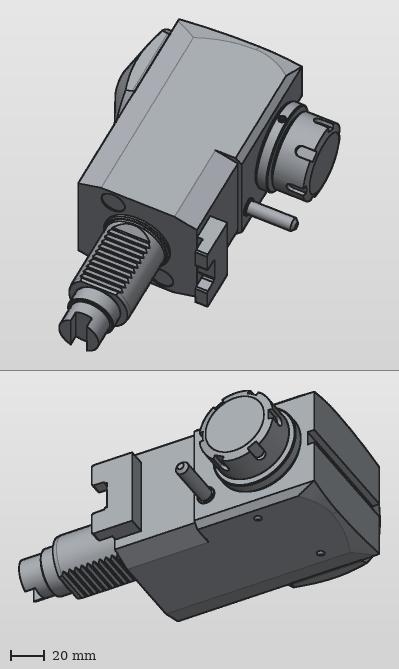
import cadquery as cq
import math


OVERALL_LENGTH = 215.0

HOUSING_LENGTH = 136.0
HALF_HEIGHT = 37.6
HALF_WIDTH = 39.3
BEVEL_X = 24.3
SIDE_HALF_HEIGHT = 33.1
HEAD_START = 55.0
HEAD_FACE = 42.0
HEAD_CHAMFER = 4.0
REAR_CROWN_X = 13.3
REAR_CROWN_Z = 36.8
REAR_LEFT_Z = 32.7
REAR_RIGHT_Z = 33.5
REAR_SLOPE = 0.25
RELIEF_LENGTH = 25.8
RELIEF_CLEARANCE = 2.2
REAR_SLOT_WIDTH = 9.5
REAR_SLOT_DEPTH = 4.5

PLUG_CENTERS = [(-16.1, 27.5), (16.0, -28.0)]
PLUG_RADIUS = 7.7
PLUG_DEPTH = 0.9

STUD_CENTERS = [(-17.0, 108.5), (30.3, 91.8)]
STUD_RADIUS = 2.4
STUD_TIP_RADIUS = 0.9
STUD_HEIGHT = 1.3

SPINDLE_Y = 100.0
CAP_RADIUS = 40.2
CAP_TIP_RADIUS = 9.9
CAP_RIM_X = -45.0
CAP_TIP_X = -59.1
CAP_REAR = 131.4
CAP_TOP_Z = 32.5
CAP_LEDGE_X = -41.0
CAP_TOP_SLOPE = 0.2

FLANGE_RADIUS = 28.0
SPACER_RADIUS = 26.9
FLANGE_START = 42.8
FLANGE_END = 50.3
NECK_RADIUS = 21.7
NUT_RADIUS = 25.0
NUT_START = 51.8
NUT_BEVEL_X = 72.7
NUT_END = 74.4
NUT_END_RADIUS = 19.8
EDGE_CHAMFER = 0.6
NUT_SLOTS = 6
NUT_SLOT_WIDTH = 6.7
NUT_SLOT_START = 61.7
NUT_SLOT_DEPTH = 2.8

PIN_Y = 63.2
PIN_Z = -17.8
PIN_RADIUS = 4.3
PIN_END = 74.2
PIN_CHAMFER = 2.2
PIN_COLLAR_RADIUS = 5.5
PIN_COLLAR_LENGTH = 1.0

KEY_END = 50.7
KEY_HALF_HEIGHT = 25.8
KEY_REAR = 17.8
KEY_FRONT = 0.5
KEY_LEG_X = 43.0
KEY_LEG_LENGTH = 9.5
KEY_GAP_HALF = 9.0
KEY_GAP_FRONT = 0.9
KEY_LEG_INNER_Z = 11.6
KEY_RELIEF = 1.3
KEY_CHAMFER = 1.0

COLLAR_RADIUS = 21.7
COLLAR_LENGTH = 2.4
COLLAR_CHAMFER = 0.9
SHOULDER_RADIUS = 20.2
SHOULDER_END = 3.7
SHANK_RADIUS = 19.8
SHANK_LENGTH = 52.7
SHANK_CHAMFER_RADIUS = 19.4
SHANK_CHAMFER_LENGTH = 2.5
RING_RADIUS = 15.0
RING_LENGTH = 63.6
TANG_RADIUS = 13.1
TANG_LENGTH = OVERALL_LENGTH - HOUSING_LENGTH
TANG_SLOT_WIDTH = 10.5
TANG_SLOT_DEPTH = 6.9

FLAT_Z = 15.5
FLAT_RAMP_START = 4.3
TOOTH_COUNT = 10
TOOTH_PITCH = 4.0
FIRST_TOOTH = 11.6
TOOTH_DEPTH = 1.5
TOOTH_HALF_WIDTH = 1.7

SCREW_HEAD_RADIUS = 2.4
SCREW_HEAD_DEPTH = 0.6
SCREW_RADIUS = 1.3
SCREW_DEPTH = 2.5


def box(x_range, y_range, z_range):
    """Box spanning the given coordinate ranges."""
    sizes = [high - low for low, high in (x_range, y_range, z_range)]
    corner = (x_range[0], y_range[0], z_range[0])
    return cq.Workplane("XY").box(*sizes, centered=False).translate(corner)


def both_halves(solid):
    """The solid joined by its mirror image below the XY plane."""
    return solid.union(solid.mirror("XY"))


def side_profile(points):
    """Closed XZ outline symmetric about Z = 0, from its upper points."""
    lower = [(x, -z) for x, z in reversed(points)]
    return cq.Workplane("XZ").polyline(points + lower).close()


def rear_relief():
    """Cutter for the crowned slope at the top rear edge."""
    left = -HALF_WIDTH
    left_radius = ((REAR_CROWN_X - left) ** 2 / (REAR_CROWN_Z - REAR_LEFT_Z)) / 2
    right_radius = ((HEAD_FACE - REAR_CROWN_X) ** 2 / (REAR_CROWN_Z - REAR_RIGHT_Z)) / 2

    def crown(x, radius):
        drop = radius - math.sqrt(radius ** 2 - (x - REAR_CROWN_X) ** 2)
        return (x, REAR_CROWN_Z - drop)

    left_middle = crown((left + REAR_CROWN_X) / 2, left_radius)
    right_middle = crown((HEAD_FACE + REAR_CROWN_X) / 2, right_radius)
    clear_z = HALF_HEIGHT + RELIEF_CLEARANCE
    outline = (
        cq.Workplane("XZ", origin=(0, HOUSING_LENGTH, 0))
        .moveTo(*crown(left, left_radius))
        .threePointArc(left_middle, (REAR_CROWN_X, REAR_CROWN_Z))
        .threePointArc(right_middle, crown(HEAD_FACE, right_radius))
        .lineTo(HEAD_FACE, clear_z)
        .lineTo(left, clear_z)
        .close()
        .val()
    )
    slope = cq.Vector(0, -RELIEF_LENGTH, RELIEF_LENGTH * REAR_SLOPE)
    return cq.Workplane(cq.Solid.extrudeLinear(outline, [], slope))


def housing():
    left_bevel = [(-HALF_WIDTH, SIDE_HALF_HEIGHT), (-BEVEL_X, HALF_HEIGHT)]
    right_bevel = [(BEVEL_X, HALF_HEIGHT), (HALF_WIDTH, SIDE_HALF_HEIGHT)]
    head_chamfer = [
        (HEAD_FACE - HEAD_CHAMFER, HALF_HEIGHT),
        (HEAD_FACE, HALF_HEIGHT - HEAD_CHAMFER),
    ]
    front = side_profile(left_bevel + right_bevel).extrude(-HEAD_START)
    head = side_profile(left_bevel + head_chamfer).extrude(HEAD_START - HOUSING_LENGTH)
    head = head.translate((0, HEAD_START, 0))
    slot = box(
        (-HALF_WIDTH, HEAD_FACE),
        (HOUSING_LENGTH - REAR_SLOT_DEPTH, HOUSING_LENGTH),
        (-REAR_SLOT_WIDTH / 2, REAR_SLOT_WIDTH / 2),
    )
    plugs = cq.Workplane("XZ").pushPoints(PLUG_CENTERS).circle(PLUG_RADIUS).extrude(-PLUG_DEPTH)
    return front.union(head).cut(both_halves(rear_relief())).cut(slot).cut(plugs)


def studs():
    profile = [(0, 0), (STUD_RADIUS, 0), (STUD_TIP_RADIUS, -STUD_HEIGHT), (0, -STUD_HEIGHT)]
    stud = cq.Workplane("XZ").polyline(profile).close().revolve(360, (0, 0), (0, 1))
    joined = cq.Workplane("XY")
    for x, y in STUD_CENTERS:
        joined = joined.union(stud.translate((x, y, -HALF_HEIGHT)))
    return joined


def turned_on_x(profile, y, z):
    """Solid of revolution about an axis along X, from (x, radius) points."""
    start = (profile[0][0], 0)
    end = (profile[-1][0], 0)
    outline = cq.Workplane("XY").polyline([start] + profile + [end]).close()
    return outline.revolve(360, (0, 0), (1, 0)).translate((0, y, z))


def cap():
    cone = turned_on_x(
        [
            (CAP_TIP_X, CAP_TIP_RADIUS),
            (CAP_RIM_X, CAP_RADIUS),
            (-HALF_WIDTH, CAP_RADIUS),
        ],
        SPINDLE_Y, 0,
    )
    tip_z = CAP_TOP_Z - CAP_TOP_SLOPE * (CAP_LEDGE_X - CAP_TIP_X)
    envelope = side_profile([(CAP_TIP_X, tip_z), (CAP_LEDGE_X, CAP_TOP_Z), (-HALF_WIDTH, CAP_TOP_Z)])
    return cone.intersect(envelope.extrude(-CAP_REAR))


def screw_hole():
    """Stepped hole cutter, sunk along -Z from the origin."""
    head = cq.Workplane("XY").circle(SCREW_HEAD_RADIUS).extrude(-SCREW_HEAD_DEPTH)
    return head.union(cq.Workplane("XY").circle(SCREW_RADIUS).extrude(-SCREW_DEPTH))


def nut_slots():
    """Wrench slots spaced around the nut, open at its outer end."""
    length = NUT_END - NUT_SLOT_START
    half_width = NUT_SLOT_WIDTH / 2
    slot = (
        cq.Workplane("XY", origin=(NUT_SLOT_START, 0, NUT_RADIUS - NUT_SLOT_DEPTH))
        .moveTo(length, half_width)
        .lineTo(half_width, half_width)
        .threePointArc((0, 0), (half_width, -half_width))
        .lineTo(length, -half_width)
        .close()
        .extrude(2 * NUT_SLOT_DEPTH)
    )
    joined = cq.Workplane("XY")
    for index in range(NUT_SLOTS):
        angle = (index + 0.5) * 360 / NUT_SLOTS
        joined = joined.union(slot.rotate((0, 0, 0), (1, 0, 0), angle))
    return joined.translate((0, SPINDLE_Y, 0))


def spindle():
    body = turned_on_x(
        [
            (HEAD_FACE, SPACER_RADIUS),
            (FLANGE_START, SPACER_RADIUS),
            (FLANGE_START, FLANGE_RADIUS - EDGE_CHAMFER),
            (FLANGE_START + EDGE_CHAMFER, FLANGE_RADIUS),
            (FLANGE_END - EDGE_CHAMFER, FLANGE_RADIUS),
            (FLANGE_END, FLANGE_RADIUS - EDGE_CHAMFER),
            (FLANGE_END, NECK_RADIUS),
            (NUT_START, NECK_RADIUS),
            (NUT_START, NUT_RADIUS - EDGE_CHAMFER),
            (NUT_START + EDGE_CHAMFER, NUT_RADIUS),
            (NUT_BEVEL_X, NUT_RADIUS),
            (NUT_END, NUT_END_RADIUS),
        ],
        SPINDLE_Y, 0,
    )
    hole_x = (FLANGE_START + FLANGE_END) / 2
    hole = screw_hole().translate((hole_x, SPINDLE_Y, FLANGE_RADIUS))
    return body.cut(nut_slots()).cut(hole)


def pin():
    collar_end = HEAD_FACE + PIN_COLLAR_LENGTH
    return turned_on_x(
        [
            (HEAD_FACE, PIN_COLLAR_RADIUS),
            (collar_end, PIN_COLLAR_RADIUS),
            (collar_end, PIN_RADIUS),
            (PIN_END - PIN_CHAMFER, PIN_RADIUS),
            (PIN_END, PIN_RADIUS - PIN_CHAMFER),
        ],
        PIN_Y, PIN_Z,
    )


def key():
    block = box((HALF_WIDTH, KEY_END), (KEY_FRONT, KEY_REAR), (-KEY_HALF_HEIGHT, KEY_HALF_HEIGHT))
    leg_tip = -KEY_LEG_LENGTH
    leg_outline = [
        (KEY_REAR, KEY_GAP_HALF),
        (0, KEY_GAP_HALF),
        (-KEY_RELIEF, KEY_GAP_HALF + KEY_RELIEF),
        (leg_tip + KEY_CHAMFER, KEY_LEG_INNER_Z - KEY_CHAMFER),
        (leg_tip, KEY_LEG_INNER_Z),
        (leg_tip, KEY_HALF_HEIGHT - KEY_CHAMFER),
        (leg_tip + KEY_CHAMFER, KEY_HALF_HEIGHT),
        (KEY_REAR, KEY_HALF_HEIGHT),
    ]
    leg = cq.Workplane("YZ", origin=(KEY_LEG_X, 0, 0)).polyline(leg_outline).close()
    leg = leg.extrude(KEY_END - KEY_LEG_X)
    gap = box((HALF_WIDTH, KEY_END), (KEY_FRONT, KEY_GAP_FRONT), (-KEY_GAP_HALF, KEY_GAP_HALF))
    return block.cut(gap).union(both_halves(leg))


def serrated_flat():
    """Cutter for the top flat: a ramp, the flat and a row of V grooves."""
    ramp_end = FLAT_RAMP_START + SHANK_RADIUS - FLAT_Z
    points = [(-FLAT_RAMP_START, SHANK_RADIUS), (-ramp_end, FLAT_Z)]
    for index in range(TOOTH_COUNT):
        center = FIRST_TOOTH + index * TOOTH_PITCH
        points.append((-center + TOOTH_HALF_WIDTH, FLAT_Z))
        points.append((-center, FLAT_Z - TOOTH_DEPTH))
        points.append((-center - TOOTH_HALF_WIDTH, FLAT_Z))
    points += [(-SHANK_LENGTH, FLAT_Z), (-SHANK_LENGTH, SHANK_RADIUS)]
    return cq.Workplane("YZ").polyline(points).close().extrude(SHANK_RADIUS, both=True)


def shank():
    profile = [
        (0, 0),
        (COLLAR_RADIUS, 0),
        (COLLAR_RADIUS, COLLAR_CHAMFER - COLLAR_LENGTH),
        (COLLAR_RADIUS - COLLAR_CHAMFER, -COLLAR_LENGTH),
        (SHOULDER_RADIUS, -COLLAR_LENGTH),
        (SHANK_RADIUS, -SHOULDER_END),
        (SHANK_RADIUS, SHANK_CHAMFER_LENGTH - SHANK_LENGTH),
        (SHANK_CHAMFER_RADIUS, -SHANK_LENGTH),
        (RING_RADIUS - EDGE_CHAMFER, -SHANK_LENGTH),
        (RING_RADIUS, -SHANK_LENGTH - EDGE_CHAMFER),
        (RING_RADIUS, EDGE_CHAMFER - RING_LENGTH),
        (RING_RADIUS - EDGE_CHAMFER, -RING_LENGTH),
        (TANG_RADIUS, -RING_LENGTH),
        (TANG_RADIUS, -TANG_LENGTH),
        (0, -TANG_LENGTH),
    ]
    body = cq.Workplane("XY").polyline(profile).close().revolve(360, (0, 0), (0, 1))
    tang_slot = box(
        (-TANG_SLOT_WIDTH / 2, TANG_SLOT_WIDTH / 2),
        (-TANG_LENGTH, TANG_SLOT_DEPTH - TANG_LENGTH),
        (-TANG_RADIUS, TANG_RADIUS),
    )
    hole_y = -(SHANK_LENGTH + RING_LENGTH) / 2
    hole = screw_hole().rotate((0, 0, 0), (0, 1, 0), -90).translate((-RING_RADIUS, hole_y, 0))
    return body.cut(both_halves(serrated_flat())).cut(tang_slot).cut(hole)


result = housing()
for feature in (studs(), cap(), spindle(), pin(), key(), shank()):
    result = result.union(feature)